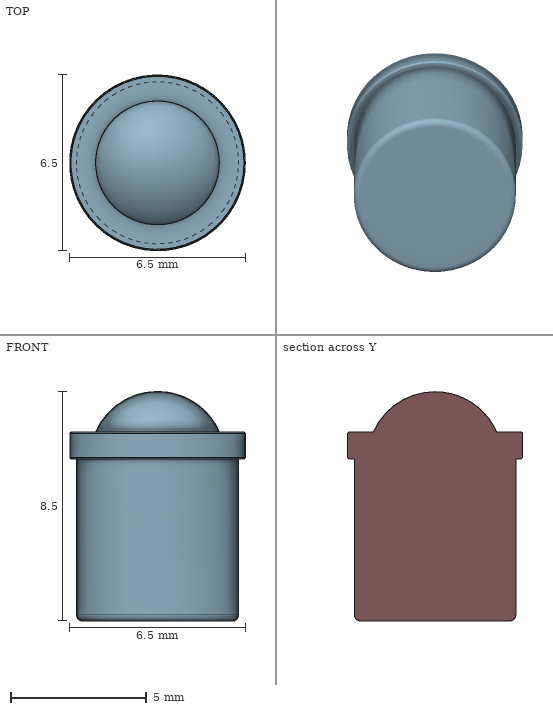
import cadquery as cq

total_height = 8.5
body_diameter = 6.0
flange_diameter = 6.5
flange_thickness = 1.0
dome_height = 1.5
ball_radius = 2.5
bottom_fillet = 0.25
flange_edge_chamfer = 0.05

flange_top = total_height - dome_height
flange_bottom = flange_top - flange_thickness
ball_center = total_height - ball_radius

sleeve = (
    cq.Workplane("XY")
    .circle(body_diameter / 2)
    .extrude(flange_top)
    .faces("<Z")
    .edges()
    .fillet(bottom_fillet)
)

flange = (
    cq.Workplane("XY")
    .workplane(offset=flange_bottom)
    .circle(flange_diameter / 2)
    .extrude(flange_thickness)
    .faces("<Z or >Z")
    .edges()
    .chamfer(flange_edge_chamfer)
)

ball = cq.Workplane("XY").sphere(ball_radius).translate((0, 0, ball_center))

result = sleeve.union(flange).union(ball)